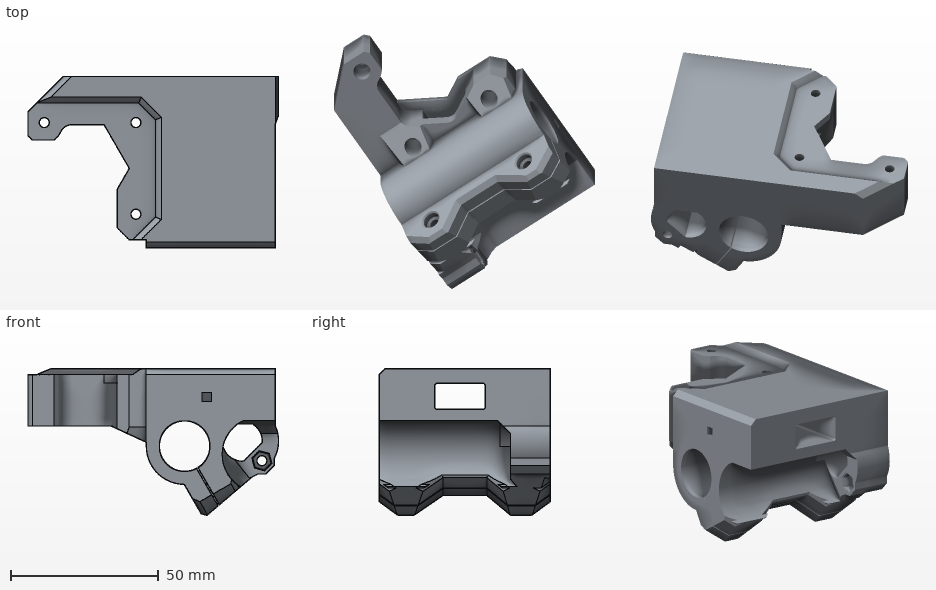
import cadquery as cq
import math


DEPTH = 58.0
TOP_Z = 26.2
LEFT_X = -53.05
BLOCK_RIGHT_X = 30.75
TOP_CHAMFER = 2.0
OVERCUT = 1.0
FAR = 60.0

BEARING_WALL_R = 13.0
BEARING_BORE_R = 8.5
BEARING_SEAT_R = 8.65
BEARING_LIP = 1.6
CLAMP_TILT = 30.0
SLIT_WIDTH = 0.5
CLAMP_OUTER_OFFSET = 6.6
LUG_EDGE_CHAMFER = 1.7
LUG_TIP_X = 7.55
LUG_TIP_Z = -23.45
LUG_REACH = 24.0
LUG_CORNER_REACH = 18.86
LUG_VALLEY_REACH = 16.5
LUG_FAR_CHAMFER_OFFSET = 7.2
LUG_OVERRUN = 8.0
LUG_FAR_OFFSET = 14.0
FRONT_LUG_TIP = (6.1, 12.1)
REAR_LUG_TIP_FRONT_Y = 44.3
LUG_VALLEY = (21.6, 36.5)
CLAMP_SCREW_YS = (10.1, 47.9)
CLAMP_SCREW_REACH = 16.3
CLAMP_SCREW_D = 3.2
CLAMP_HEAD_D = 5.8
CLAMP_HEAD_DEPTH = 2.7
CLAMP_HEAD_CHAMFER = 0.5
CLAMP_SCREW_LENGTH = 13.0

NUT_X = 19.5
NUT_Z = 1.7
NUT_BOSS_R = 12.33
NUT_BORE_D = 13.5
NUT_BORE_TOP_Z = 7.4
NUT_BORE_START_Y = 41.0
NUT_BORE_FLAT = 5.1
NUT_SCREW_R = 9.4
NUT_SCREW_D = 3.3
HEX_FLATS = 5.6
HEX_DEPTH = 3.0
HEX_TURN = -15.0
HEX_LEAD_IN = 0.25
NUT_EAR_X = 30.4
NUT_EAR_BOTTOM_Z = -9.5
NUT_EAR_CHAMFER = 2.95
NUT_EAR_LEFT_X = 24.7
NUT_EAR_ROOT = (22.9, -10.4)

CLEARANCE_X = 25.4
CLEARANCE_Z = -2.8
CLEARANCE_R = 12.7
CLEARANCE_BACK_Y = 44.4
CLEARANCE_ROOF_Z = 8.7
ROOF_BACK_Z = 4.3
SLOPE_TURN = 231.5
SLOPE_EDGE_OFFSET = -10.4
SLOPE_ANGLE = 28.0
SLOPE_REACH = 6.0

PLATE_TOP_Z = TOP_Z - TOP_CHAMFER
PLATE_BOTTOM_Z = 6.8
PLATE_ROOF_Z = 21.3
PLATE_FRONT_Y = 2.7
BACK_ARM_FRONT_Y = 41.6
MOTOR_X = -31.98
MOTOR_Y = 26.85
MOTOR_HOLE_PITCH = 31.0
MOTOR_HOLE_D = 3.3
MOTOR_HEAD_D = 5.8
MOTOR_HEAD_SEAT_Z = 18.0
RECESS_HALF = 22.1
RECESS_CORNER = 5.65
ARM_CORNER = 12.0
ARM_END_FRONT_Y = 36.4
ARM_END_WIDTH = 8.9
ARM_END_CHAMFER = 1.55
ARM_SLANT_RUN = 3.6
ARM_FILLET = 4.0
NOTCH_X = -18.75
FRONT_ARM_LEFT_X = -22.85
FRONT_ARM_CHAMFER = 4.1

POCKET_APEX_X = -15.1
POCKET_FRONT_Y = 12.6
POCKET_FILLET = 3.8
WINDOW_Y = (18.9, 35.9)
WINDOW_Z = (12.5, 21.2)
WINDOW_FILLET = 0.7

GUSSET_TIP_X = -24.9
GUSSET_BOTTOM_Z = 1.3
FRONT_GUSSET_TOP = (2.6, 18.5)
REAR_GUSSET_TOP = (36.0, 50.2)
GUSSET_DRAFT = 1.9

PEEP_X = 7.5
PEEP_Z = 16.6
PEEP_SIZE = 3.1
PEEP_DEPTH = 5.0

TILT = math.radians(CLAMP_TILT)
SIN_TILT = math.sin(TILT)
COS_TILT = math.cos(TILT)


def clamp_xz(offset, reach):
    """X and Z of a point given across and along the tilted slit."""
    return (offset * COS_TILT + reach * SIN_TILT, offset * SIN_TILT - reach * COS_TILT)


def clamp_plane(height):
    """Plane across the clamp screws: local x is Y, local y runs down along the slit."""
    normal = (-COS_TILT, 0, -SIN_TILT)
    origin = (normal[0] * height, 0, normal[2] * height)
    return cq.Workplane(cq.Plane(origin=origin, xDir=(0, 1, 0), normal=normal))


def along_y(y):
    """Plane at the given Y, with local x = X, local y = Z and -Y as its normal."""
    return cq.Workplane("XZ", origin=(0, y, 0))


def block():
    clamp_side = math.sqrt(BEARING_WALL_R**2 - CLAMP_OUTER_OFFSET**2)
    arc_middle = -BEARING_WALL_R * math.sqrt(0.5)
    boss_top_z = NUT_Z + math.sqrt(NUT_BOSS_R**2 - (BLOCK_RIGHT_X - NUT_X) ** 2)
    boss_low_z = NUT_Z - math.sqrt(NUT_BOSS_R**2 - (NUT_EAR_X - NUT_X) ** 2)
    tip_offset = LUG_TIP_X * COS_TILT + LUG_TIP_Z * SIN_TILT
    tip_reach = LUG_TIP_X * SIN_TILT - LUG_TIP_Z * COS_TILT
    tip_chamfer = CLAMP_OUTER_OFFSET + tip_offset
    outline = (
        cq.Workplane("XZ")
        .moveTo(-BEARING_WALL_R, TOP_Z)
        .lineTo(BLOCK_RIGHT_X, TOP_Z)
        .lineTo(BLOCK_RIGHT_X, boss_top_z)
        .threePointArc((NUT_X + NUT_BOSS_R, NUT_Z), (NUT_EAR_X, boss_low_z))
        .lineTo(NUT_EAR_X, NUT_EAR_BOTTOM_Z + NUT_EAR_CHAMFER)
        .lineTo(NUT_EAR_X - NUT_EAR_CHAMFER, NUT_EAR_BOTTOM_Z)
        .lineTo(NUT_EAR_LEFT_X, NUT_EAR_BOTTOM_Z)
        .lineTo(*NUT_EAR_ROOT)
        .lineTo(LUG_TIP_X, LUG_TIP_Z)
        .lineTo(*clamp_xz(-CLAMP_OUTER_OFFSET, tip_reach - tip_chamfer))
        .lineTo(*clamp_xz(-CLAMP_OUTER_OFFSET, clamp_side))
        .threePointArc((arc_middle, arc_middle), (-BEARING_WALL_R, 0))
        .close()
    )
    return outline.extrude(-DEPTH).faces("<Y").edges(">Z").chamfer(TOP_CHAMFER)


def plate_outline():
    notch_back_x = NOTCH_X - (BACK_ARM_FRONT_Y - MOTOR_Y) * math.tan(TILT)
    notch_front_y = MOTOR_Y - (NOTCH_X - FRONT_ARM_LEFT_X) / math.tan(TILT)
    return [
        (LEFT_X, DEPTH - ARM_CORNER),
        (LEFT_X + ARM_CORNER, DEPTH),
        (0, DEPTH),
        (0, PLATE_FRONT_Y),
        (FRONT_ARM_LEFT_X + FRONT_ARM_CHAMFER, PLATE_FRONT_Y),
        (FRONT_ARM_LEFT_X, PLATE_FRONT_Y + FRONT_ARM_CHAMFER),
        (FRONT_ARM_LEFT_X, notch_front_y),
        (NOTCH_X, MOTOR_Y),
        (notch_back_x, BACK_ARM_FRONT_Y),
        (LEFT_X + ARM_END_WIDTH + ARM_SLANT_RUN, BACK_ARM_FRONT_Y),
        (LEFT_X + ARM_END_WIDTH + ARM_END_CHAMFER, ARM_END_FRONT_Y + ARM_END_CHAMFER),
        (LEFT_X + ARM_END_WIDTH, ARM_END_FRONT_Y),
        (LEFT_X + ARM_END_CHAMFER, ARM_END_FRONT_Y),
        (LEFT_X, ARM_END_FRONT_Y + ARM_END_CHAMFER),
    ]


def prism(bottom, top):
    """Upright solid with the plate outline."""
    base = cq.Workplane("XY").workplane(offset=bottom).polyline(plate_outline()).close()
    solid = base.extrude(top - bottom)
    inner_corner = (LEFT_X + ARM_END_WIDTH + ARM_SLANT_RUN, BACK_ARM_FRONT_Y, (top + bottom) / 2)
    return solid.edges(cq.selectors.NearestToPointSelector(inner_corner)).fillet(ARM_FILLET)


def motor_plate():
    plate = prism(PLATE_BOTTOM_Z, TOP_Z)
    corner = cq.selectors.NearestToPointSelector((LEFT_X + ARM_CORNER / 2, DEPTH - ARM_CORNER / 2, TOP_Z))
    return plate.edges(corner).chamfer(TOP_CHAMFER)


def gusset(y_top):
    """Drafted rib under the plate, sloping down to the bearing wall."""
    front, back = y_top
    sides = [
        (front, PLATE_BOTTOM_Z),
        (back, PLATE_BOTTOM_Z),
        (back - GUSSET_DRAFT, GUSSET_BOTTOM_Z),
        (front + GUSSET_DRAFT, GUSSET_BOTTOM_Z),
    ]
    rib = cq.Workplane("YZ", origin=(GUSSET_TIP_X, 0, 0)).polyline(sides).close()
    rib = rib.extrude(-BEARING_WALL_R - GUSSET_TIP_X)
    slope = [
        (GUSSET_TIP_X, PLATE_BOTTOM_Z),
        (-BEARING_WALL_R, PLATE_BOTTOM_Z),
        (-BEARING_WALL_R, GUSSET_BOTTOM_Z),
    ]
    rib = rib.intersect(along_y(0).polyline(slope).close().extrude(-DEPTH))
    return rib.intersect(prism(GUSSET_BOTTOM_Z, PLATE_BOTTOM_Z))


def motor_recess():
    right = MOTOR_X + RECESS_HALF
    back = MOTOR_Y + RECESS_HALF
    front = MOTOR_Y - RECESS_HALF
    points = [
        (LEFT_X - FAR, back),
        (right - RECESS_CORNER, back),
        (right, back - RECESS_CORNER),
        (right, front + RECESS_CORNER),
        (right - FAR, front + RECESS_CORNER - FAR),
    ]
    rise = TOP_CHAMFER + OVERCUT
    floor = cq.Workplane("XY").workplane(offset=PLATE_TOP_Z).polyline(points).close()
    opening = floor.offset2D(rise, "intersection").translate((0, 0, rise))
    return cq.Workplane("XY").add(cq.Solid.makeLoft([floor.val(), opening.val()], True))


def pulley_pocket():
    back_x = POCKET_APEX_X - (BACK_ARM_FRONT_Y - MOTOR_Y) * math.tan(TILT)
    front_x = POCKET_APEX_X - (MOTOR_Y - POCKET_FRONT_Y) * math.tan(TILT)
    left = MOTOR_X
    points = [
        (left, BACK_ARM_FRONT_Y),
        (back_x, BACK_ARM_FRONT_Y),
        (POCKET_APEX_X, MOTOR_Y),
        (front_x, POCKET_FRONT_Y),
        (left, POCKET_FRONT_Y),
    ]
    pocket = cq.Workplane("XY").polyline(points).close().extrude(PLATE_ROOF_Z)
    for x, y in points[1:3]:
        corner = cq.selectors.NearestToPointSelector((x, y, PLATE_ROOF_Z / 2))
        pocket = pocket.edges(corner).fillet(POCKET_FILLET)
    return pocket


def belt_window():
    width = WINDOW_Y[1] - WINDOW_Y[0]
    height = WINDOW_Z[1] - WINDOW_Z[0]
    center = (sum(WINDOW_Y) / 2, sum(WINDOW_Z) / 2)
    window = cq.Workplane("YZ", origin=(MOTOR_X, 0, 0)).center(*center).rect(width, height)
    return window.extrude(2 * FAR).edges("|X").fillet(WINDOW_FILLET)


def motor_holes():
    half = MOTOR_HOLE_PITCH / 2
    places = [
        (MOTOR_X - half, MOTOR_Y + half),
        (MOTOR_X + half, MOTOR_Y + half),
        (MOTOR_X + half, MOTOR_Y - half),
    ]
    centers = cq.Workplane("XY").pushPoints(places)
    holes = centers.circle(MOTOR_HOLE_D / 2).extrude(TOP_Z)
    return holes.union(centers.circle(MOTOR_HEAD_D / 2).extrude(MOTOR_HEAD_SEAT_Z))


def bearing_bore_and_slit():
    bore = along_y(0).circle(BEARING_BORE_R).extrude(-DEPTH)
    seat_length = DEPTH - 2 * BEARING_LIP
    bore = bore.union(along_y(BEARING_LIP).circle(BEARING_SEAT_R).extrude(-seat_length))
    slit = clamp_plane(-SLIT_WIDTH / 2).rect(2 * DEPTH, FAR).extrude(SLIT_WIDTH)
    below = along_y(0).center(0, -FAR / 2).rect(2 * FAR, FAR).extrude(-DEPTH)
    return bore.union(slit.intersect(below))


def past(start, tip):
    """Point beyond the lug tip on the straight line from start through tip, in Y and reach."""
    stretch = (LUG_REACH + LUG_OVERRUN - start[1]) / (tip[1] - start[1])
    return (start[0] + stretch * (tip[0] - start[0]), start[1] + stretch * (tip[1] - start[1]))


def lug_cuts():
    """Material removed in front of, between and behind the two clamp lugs."""
    front_tip, front_inner_tip = [(y, LUG_REACH) for y in FRONT_LUG_TIP]
    rear_inner_tip = (REAR_LUG_TIP_FRONT_Y, LUG_REACH)
    corner = (0, LUG_CORNER_REACH)
    valley_front, valley_rear = [(y, LUG_VALLEY_REACH) for y in LUG_VALLEY]
    front_low = past(corner, front_tip)
    front_slope = (LUG_REACH - LUG_CORNER_REACH) / front_tip[0]
    front_high = (-LUG_OVERRUN, LUG_CORNER_REACH - LUG_OVERRUN * front_slope)
    front = [front_high, front_low, (-LUG_OVERRUN, front_low[1])]
    rear = [(DEPTH - y, reach) for y, reach in front]
    valley = [
        past(valley_front, front_inner_tip),
        valley_front,
        valley_rear,
        past(valley_rear, rear_inner_tip),
    ]

    near_end = CLAMP_OUTER_OFFSET - LUG_EDGE_CHAMFER
    cuts = cq.Workplane("XY")
    for points in (front, valley, rear):
        straight = clamp_plane(-LUG_FAR_OFFSET).polyline(points).close().extrude(LUG_FAR_OFFSET + near_end)
        near_flare = clamp_plane(near_end).polyline(points).close()
        near_flare = near_flare.extrude(LUG_EDGE_CHAMFER + OVERCUT, taper=-45)
        far_flare = clamp_plane(-LUG_FAR_CHAMFER_OFFSET).polyline(points).close()
        far_flare = far_flare.extrude(-LUG_EDGE_CHAMFER, taper=-45)
        cuts = cuts.add(straight).add(near_flare).add(far_flare)
    return cuts.combine()


def clamp_screws():
    places = [(y, CLAMP_SCREW_REACH) for y in CLAMP_SCREW_YS]
    face = clamp_plane(CLAMP_OUTER_OFFSET).pushPoints(places)
    holes = face.circle(CLAMP_SCREW_D / 2).extrude(-CLAMP_SCREW_LENGTH)
    heads = face.circle(CLAMP_HEAD_D / 2).extrude(-CLAMP_HEAD_DEPTH)
    mouth = face.circle(CLAMP_HEAD_D / 2 + CLAMP_HEAD_CHAMFER).extrude(-CLAMP_HEAD_CHAMFER, taper=45)
    return holes.union(heads).union(mouth)


def nut_clearance():
    """Round space in front of the nut boss, with a sloped roof and a sloped lower wall."""
    slope_depth = SLOPE_REACH * math.tan(math.radians(SLOPE_ANGLE))
    back_y = CLEARANCE_BACK_Y + slope_depth
    space = along_y(0).center(CLEARANCE_X, CLEARANCE_Z).circle(CLEARANCE_R).extrude(-back_y)
    roof_rise = CLEARANCE_ROOF_Z - ROOF_BACK_Z
    under_roof = [
        (0, CLEARANCE_ROOF_Z),
        (CLEARANCE_BACK_Y - roof_rise, CLEARANCE_ROOF_Z),
        (CLEARANCE_BACK_Y, ROOF_BACK_Z),
        (back_y, ROOF_BACK_Z - slope_depth),
        (back_y, -FAR),
        (0, -FAR),
    ]
    boss_front = [
        (0, FAR),
        (back_y, FAR),
        (back_y, SLOPE_EDGE_OFFSET + SLOPE_REACH),
        (CLEARANCE_BACK_Y, SLOPE_EDGE_OFFSET),
        (CLEARANCE_BACK_Y, -FAR),
        (0, -FAR),
    ]
    space = space.intersect(cq.Workplane("YZ").polyline(under_roof).close().extrude(FAR, both=True))
    limit = cq.Workplane("YZ").polyline(boss_front).close().extrude(FAR, both=True)
    return space.intersect(limit.rotate((0, 0, 0), (0, 1, 0), SLOPE_TURN))


def nut_bore():
    radius = NUT_BORE_D / 2
    top = NUT_BORE_TOP_Z - NUT_Z
    bore = along_y(0).circle(radius).extrude(-DEPTH)
    bore = bore.cut(along_y(0).center(0, top + radius).rect(FAR, 2 * radius).extrude(-DEPTH))
    flat = along_y(0).center(NUT_BORE_FLAT + radius, 0).rect(2 * radius, FAR).extrude(-DEPTH)
    bore = bore.cut(flat.rotate((0, 0, 0), (0, 1, 0), 45))
    front_part = along_y(0).rect(FAR, FAR).extrude(-NUT_BORE_START_Y)
    return bore.cut(front_part).translate((NUT_X, 0, NUT_Z))


def hexagon(y, flats, length):
    diameter = flats / math.cos(math.pi / 6)
    return along_y(y).polygon(6, diameter).extrude(-length).rotate((0, 0, 0), (0, 1, 0), -HEX_TURN)


def nut_screw():
    shift = NUT_SCREW_R * math.sqrt(0.5)
    hole = along_y(CLEARANCE_BACK_Y).circle(NUT_SCREW_D / 2).extrude(-DEPTH)
    hole = hole.union(hexagon(CLEARANCE_BACK_Y, HEX_FLATS, HEX_DEPTH))
    hole = hole.union(hexagon(CLEARANCE_BACK_Y, HEX_FLATS + 2 * HEX_LEAD_IN, HEX_LEAD_IN))
    return hole.translate((NUT_X + shift, 0, NUT_Z - shift))


def front_pocket():
    return along_y(0).center(PEEP_X, PEEP_Z).rect(PEEP_SIZE, PEEP_SIZE).extrude(-PEEP_DEPTH)


result = block().union(motor_plate())
for y_top in (FRONT_GUSSET_TOP, REAR_GUSSET_TOP):
    result = result.union(gusset(y_top))
for cutter in (
    motor_recess(),
    pulley_pocket(),
    belt_window(),
    motor_holes(),
    bearing_bore_and_slit(),
    lug_cuts(),
    nut_clearance(),
    nut_bore(),
    clamp_screws(),
    nut_screw(),
    front_pocket(),
):
    result = result.cut(cutter)